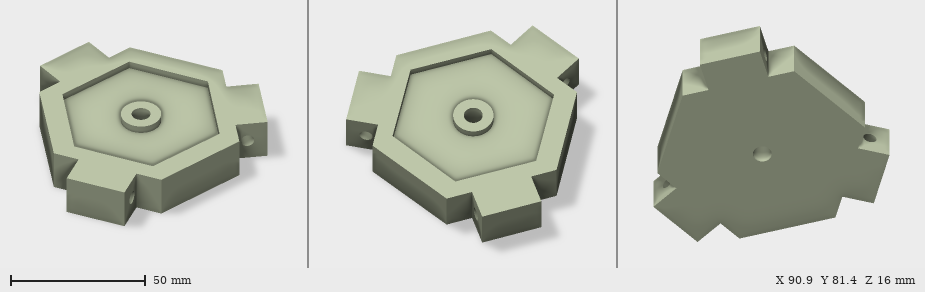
import cadquery as cq
import math

thickness = 16.0
plain_side_distance = 35.4
arm_side_distance = 33.7
outline_twist = 0.4

arm_count = 3
arm_spacing = 360 / arm_count
arm_reach = 45.8
arm_width = 23.1
pin_hole_diameter = 5.0
pin_hole_to_end = 7.5

pocket_across_flats = 54.5
pocket_depth = 3.0
boss_diameter = 15.0
bore_diameter = 7.0

CORNER_COUNT = 6


def body_corner(index):
    """Corner where a plain side meets an arm side, counted anticlockwise from the top side."""
    step = 2 * math.pi / CORNER_COUNT
    if index % 2 == 0:
        first_distance, second_distance = plain_side_distance, arm_side_distance
    else:
        first_distance, second_distance = arm_side_distance, plain_side_distance
    along_side = (second_distance - first_distance * math.cos(step)) / math.sin(step)
    normal_angle = math.pi / 2 + index * step
    x = first_distance * math.cos(normal_angle) - along_side * math.sin(normal_angle)
    y = first_distance * math.sin(normal_angle) + along_side * math.cos(normal_angle)
    return x, y


def make_arm():
    """Arm pointing along -Y, starting at the part centre."""
    return cq.Workplane("XY", origin=(0, -arm_reach, 0)).box(
        arm_width, arm_reach, thickness, centered=(True, False, False)
    )


def make_pin_hole():
    """Cutter running across the -Y arm at mid thickness."""
    return (
        cq.Workplane("YZ")
        .center(pin_hole_to_end - arm_reach, thickness / 2)
        .circle(pin_hole_diameter / 2)
        .extrude(arm_width / 2, both=True)
    )


def make_pocket():
    """Hexagonal ring cutter that leaves the boss standing level with the top face."""
    pocket_corner_diameter = pocket_across_flats / math.cos(math.pi / CORNER_COUNT)
    return (
        cq.Workplane("XY", origin=(0, 0, thickness - pocket_depth))
        .polygon(CORNER_COUNT, pocket_corner_diameter)
        .circle(boss_diameter / 2)
        .extrude(pocket_depth)
    )


body = cq.Workplane("XY").polyline([body_corner(i) for i in range(CORNER_COUNT)]).close().extrude(thickness)

for arm_index in range(arm_count):
    turn = arm_index * arm_spacing
    body = body.union(make_arm().rotate((0, 0, 0), (0, 0, 1), turn))
    body = body.cut(make_pin_hole().rotate((0, 0, 0), (0, 0, 1), turn))

body = body.rotate((0, 0, 0), (0, 0, 1), outline_twist)
body = body.cut(make_pocket())

bore = cq.Workplane("XY").circle(bore_diameter / 2).extrude(thickness)
result = body.cut(bore)